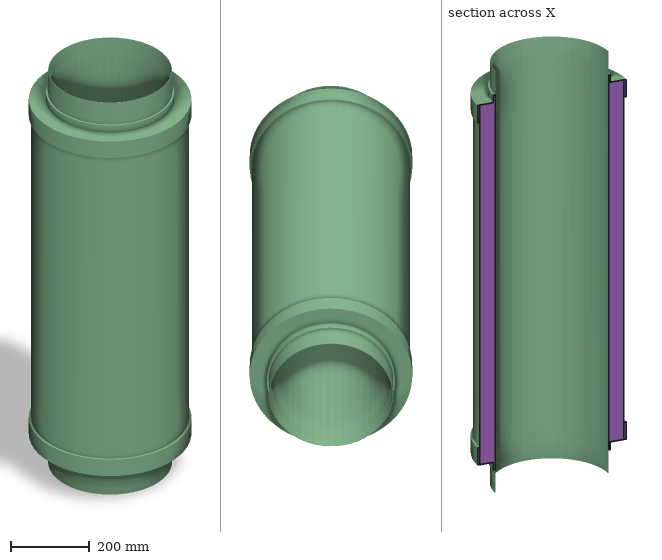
import cadquery as cq

total_length = 1170.0
spigot_diameter = 315.0
spigot_wall = 1.0
spigot_length = 64.0
collar_diameter = 325.0
collar_length = 21.0
casing_diameter = 400.0
band_diameter = 413.0
band_height = 49.0

bore_diameter = spigot_diameter - 2 * spigot_wall
casing_base = spigot_length + collar_length
casing_length = total_length - 2 * casing_base
collared_length = total_length - 2 * spigot_length


def centred_cylinder(diameter, length):
    """Vertical cylinder centred on the origin."""
    base = cq.Workplane("XY", origin=(0, 0, -length / 2))
    return base.circle(diameter / 2).extrude(length)


def make_silencer_body():
    """Casing with stepped collars and thin spigots, bored from end to end."""
    casing = centred_cylinder(casing_diameter, casing_length)
    collars = centred_cylinder(collar_diameter, collared_length)
    spigots = centred_cylinder(spigot_diameter, total_length)
    bore = centred_cylinder(bore_diameter, total_length)
    return casing.union(collars).union(spigots).cut(bore)


def make_end_band(base_height):
    """Ring fitted around the casing, with its lower face at base_height."""
    return (
        cq.Workplane("XY", origin=(0, 0, base_height))
        .circle(band_diameter / 2)
        .circle(casing_diameter / 2)
        .extrude(band_height)
    )


silencer_body = make_silencer_body()

band_bases = [-casing_length / 2, casing_length / 2 - band_height]
end_bands = [make_end_band(base) for base in band_bases]

result = cq.Compound.makeCompound([silencer_body.val(), *[band.val() for band in end_bands]])